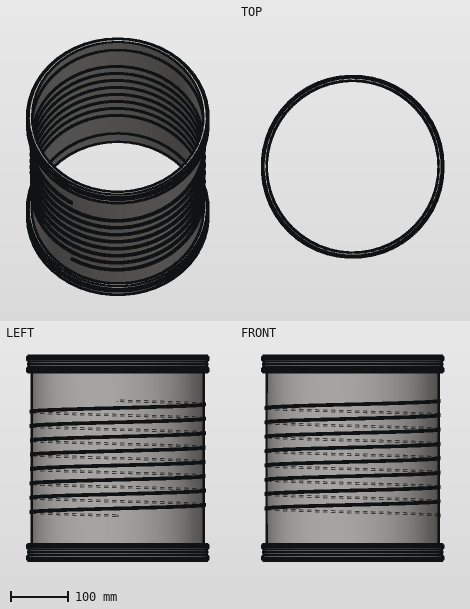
import cadquery as cq

total_height = 358.8
bore_diameter = 300.0
tube_diameter = 301.8
collar_diameter = 311.8
bead_diameter = 318.3

collar_height = 29.8
bead_height = 10.0
bead_crest_height = 2.0
ridge_height = 1.5
ridge_projection = 1.0

seam_pitch = 25.0
seam_turns = 8
seam_width = 3.0
seam_projection = 1.5

bore_radius = bore_diameter / 2
tube_radius = tube_diameter / 2
collar_radius = collar_diameter / 2
bead_radius = bead_diameter / 2
ridge_radius = collar_radius + ridge_projection
wall = tube_radius - bore_radius


def make_tube():
    """Thin tube between the collars, with a right-handed spiral seam raised on its outside."""
    tube_length = total_height - 2 * collar_height
    shell = (
        cq.Workplane("XY")
        .workplane(offset=collar_height)
        .circle(tube_radius)
        .circle(bore_radius)
        .extrude(tube_length)
    )
    seam_length = seam_pitch * seam_turns
    seam_start = (total_height - seam_length) / 2
    seam_root = tube_radius - wall / 2
    seam_depth = wall / 2 + seam_projection
    path = cq.Wire.makeHelix(seam_pitch, seam_length, seam_root, center=cq.Vector(0, 0, seam_start))
    seam = (
        cq.Workplane("XZ")
        .center(seam_root + seam_depth / 2, seam_start)
        .rect(seam_depth, seam_width)
        .sweep(cq.Workplane(path), isFrenet=True)
    )
    return shell.union(seam).solids()


def bead_outline(foot):
    """Points up the outside of a bead whose lower foot is at the given height."""
    slope_height = (bead_height - bead_crest_height) / 2
    return [
        (collar_radius, foot),
        (bead_radius, foot + slope_height),
        (bead_radius, foot + slope_height + bead_crest_height),
        (collar_radius, foot + bead_height),
    ]


def make_collar(base):
    """Ring with a bead at each end and a small ridge between them, standing on height base."""
    top = base + collar_height
    middle = base + collar_height / 2
    ridge = [
        (collar_radius, middle - ridge_height / 2),
        (ridge_radius, middle - ridge_height / 2),
        (ridge_radius, middle + ridge_height / 2),
        (collar_radius, middle + ridge_height / 2),
    ]
    outside = bead_outline(base) + ridge + bead_outline(top - bead_height)
    outline = [(bore_radius, base)] + outside + [(bore_radius, top)]
    return cq.Workplane("XZ").polyline(outline).close().revolve(360, (0, 0), (0, 1))


tube = make_tube()
collars = [make_collar(base) for base in (0, total_height - collar_height)]

result = cq.Compound.makeCompound([tube.val(), *[collar.val() for collar in collars]])